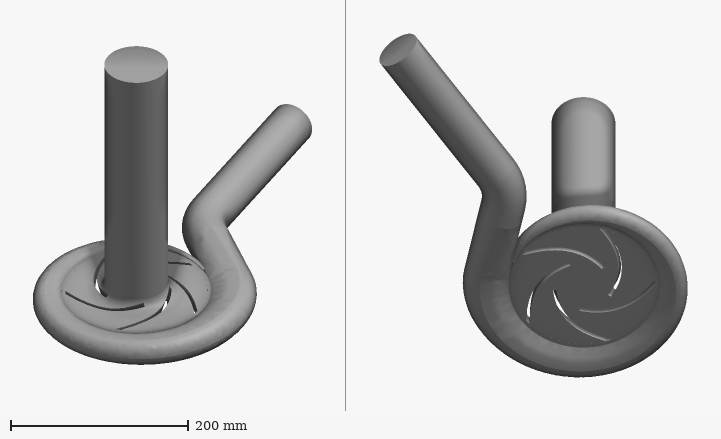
import cadquery as cq
import math

OVERALL_HEIGHT = 342.5

SUCTION_DIAMETER = 72.0
SUCTION_RADIUS = SUCTION_DIAMETER / 2
SUCTION_BOTTOM_Z = 33.0
NECK_BOTTOM_Z = 18.5

CHANNEL_HALF_HEIGHT = 6.5
IMPELLER_RADIUS = 80.0
SHROUD_BEND_RADIUS = 44.5
SHROUD_BEND_Z = 8.0
SHROUD_FLAT_RADIUS = 54.0

BLADE_COUNT = 5
BLADE_THICKNESS = 4.0
BLADE_OVERSHOOT = 5.0
BLADE_SHROUD_LINE = [(82.0, -7), (73.0, 1.5), (63.0, 15), (56.0, 30.5), (50.0, 50), (45.0, 68), (40.5, 95)]
BLADE_HUB_LINE = [(82.0, -7), (73.0, 1.5), (62.0, 15), (51.5, 30.5), (41.5, 50), (35.5, 68), (31.5, 95)]

SCROLL_SECTIONS = [
    (55, 93.0, 8.0), (90, 97.5, 9.5), (135, 105.0, 11.5), (180, 112.0, 12.0), (225, 119.0, 13.0),
    (270, 124.0, 14.0), (315, 127.5, 15.5), (360, 132.0, 17.5), (405, 135.0, 19.0),
]
SCROLL_END_ANGLE, THROAT_OUTER_RADIUS, _ = SCROLL_SECTIONS[-1]
SCROLL_MOUTH_RADIUS = 84.5

DISCHARGE_START_Y = 180.0
DISCHARGE_END_Y = 380.0
TRANSITION_LENGTH = 70.0
DISCHARGE_RADIUS = (THROAT_OUTER_RADIUS - SCROLL_MOUTH_RADIUS) / 2
THROAT_CENTRE = (THROAT_OUTER_RADIUS + SCROLL_MOUTH_RADIUS) / 2
BEND_ANGLE = math.radians(SCROLL_END_ANGLE - 360)
BEND_CORNER_Y = THROAT_CENTRE / math.sin(BEND_ANGLE)
BEND_TANGENT = DISCHARGE_START_Y - BEND_CORNER_Y
STRAIGHT_LENGTH = THROAT_CENTRE / math.tan(BEND_ANGLE) - BEND_TANGENT

SUCTION_TOP_Z = OVERALL_HEIGHT - DISCHARGE_RADIUS


def polar(radius, angle):
    a = math.radians(angle)
    return cq.Vector(radius * math.cos(a), radius * math.sin(a), 0)


def make_suction_pipe():
    return (
        cq.Workplane("XY", origin=(0, 0, SUCTION_BOTTOM_Z))
        .circle(SUCTION_RADIUS)
        .extrude(SUCTION_TOP_Z - SUCTION_BOTTOM_Z)
    )


def blade_outline(line, z):
    """Closed outline of one slot: the middle line offset by half the thickness to each side."""
    middle = [polar(radius, angle) for radius, angle in line]
    path = cq.Edge.makeSpline(middle)
    sides = []
    for side in (1, -1):
        points = []
        for index in range(len(middle)):
            share = index / (len(middle) - 1)
            tangent = path.tangentAt(share)
            normal = cq.Vector(-tangent.y, tangent.x, 0)
            points.append(path.positionAt(share) + normal * (side * BLADE_THICKNESS / 2))
        sides.append(cq.Edge.makeSpline(points))
    left, right = sides
    outer_end = cq.Edge.makeLine(right.startPoint(), left.startPoint())
    inner_end = cq.Edge.makeLine(left.endPoint(), right.endPoint())
    wire = cq.Wire.assembleEdges([left, inner_end, right, outer_end])
    return wire.translate(cq.Vector(0, 0, z))


def make_impeller():
    """Fluid passage of the impeller, with leaning slots where the blades stand."""
    passage = (
        cq.Workplane("XZ")
        .moveTo(0, -CHANNEL_HALF_HEIGHT)
        .lineTo(IMPELLER_RADIUS, -CHANNEL_HALF_HEIGHT)
        .lineTo(IMPELLER_RADIUS, CHANNEL_HALF_HEIGHT)
        .lineTo(SHROUD_FLAT_RADIUS, CHANNEL_HALF_HEIGHT)
        .tangentArcPoint((SHROUD_BEND_RADIUS, SHROUD_BEND_Z), relative=False)
        .tangentArcPoint((SUCTION_RADIUS, NECK_BOTTOM_Z), relative=False)
        .lineTo(SUCTION_RADIUS, SUCTION_BOTTOM_Z)
        .lineTo(0, SUCTION_BOTTOM_Z)
        .close()
        .revolve(360, (0, 0, 0), (0, 1, 0))
    )
    slot = cq.Solid.makeLoft(
        [
            blade_outline(BLADE_HUB_LINE, -CHANNEL_HALF_HEIGHT - BLADE_OVERSHOOT),
            blade_outline(BLADE_SHROUD_LINE, NECK_BOTTOM_Z),
        ],
        True,
    )
    for index in range(BLADE_COUNT):
        turn = index * 360 / BLADE_COUNT
        passage = passage.cut(cq.Workplane(slot.rotate(cq.Vector(0, 0, 0), cq.Vector(0, 0, 1), turn)))
    return passage.solids()


def scroll_section(angle, outer_radius, half_height):
    """Radial section: straight mouth, curved flanks and a half-round outside."""
    outward = polar(1, angle)
    up = cq.Vector(0, 0, 1)

    def place(radius, z):
        return outward * radius + up * z

    crown_radius = outer_radius - half_height
    diagonal = half_height * math.sqrt(0.5)
    mouth_top = place(SCROLL_MOUTH_RADIUS, CHANNEL_HALF_HEIGHT)
    mouth_bottom = place(SCROLL_MOUTH_RADIUS, -CHANNEL_HALF_HEIGHT)
    crown_top = place(crown_radius, half_height)
    crown_bottom = place(crown_radius, -half_height)
    tip = place(outer_radius, 0)
    upper_middle = place(crown_radius + diagonal, diagonal)
    lower_middle = place(crown_radius + diagonal, -diagonal)
    return cq.Wire.assembleEdges([
        cq.Edge.makeLine(mouth_bottom, mouth_top),
        cq.Edge.makeTangentArc(crown_top, outward * -1, mouth_top),
        cq.Edge.makeThreePointArc(crown_top, upper_middle, tip),
        cq.Edge.makeThreePointArc(tip, lower_middle, crown_bottom),
        cq.Edge.makeTangentArc(crown_bottom, outward * -1, mouth_bottom),
    ])


def round_section(distance):
    """Circle across the straight discharge, split into the same five edges as a scroll section."""
    outward = polar(1, SCROLL_END_ANGLE)
    along = polar(1, SCROLL_END_ANGLE + 90)
    centre = outward * THROAT_CENTRE + along * distance
    mouth_angle = 180 - math.degrees(math.asin(CHANNEL_HALF_HEIGHT / DISCHARGE_RADIUS))

    def place(angle):
        a = math.radians(angle)
        offset = outward * math.cos(a) + cq.Vector(0, 0, 1) * math.sin(a)
        return centre + offset * DISCHARGE_RADIUS

    corners = [-mouth_angle, -90, 0, 90, mouth_angle, 360 - mouth_angle]
    edges = []
    for start, end in zip(corners, corners[1:]):
        edges.append(cq.Edge.makeThreePointArc(place(start), place((start + end) / 2), place(end)))
    return cq.Wire.assembleEdges(edges)


def make_discharge_bend():
    """Round pipe from the end of the transition, around the bend to the +Y direction."""
    along = polar(1, SCROLL_END_ANGLE + 90)
    start = polar(THROAT_CENTRE, SCROLL_END_ANGLE) + along * TRANSITION_LENGTH
    bend_start = polar(THROAT_CENTRE, SCROLL_END_ANGLE) + along * STRAIGHT_LENGTH
    path = (
        cq.Workplane("XY")
        .moveTo(start.x, start.y)
        .lineTo(bend_start.x, bend_start.y)
        .tangentArcPoint((0, DISCHARGE_START_Y), relative=False)
    )
    return cq.Workplane(cq.Plane(start, (0, 0, 1), along)).circle(DISCHARGE_RADIUS).sweep(path)


def make_volute():
    """Mouth ring, growing scroll, transition to a circle and the discharge bend."""
    ring = (
        cq.Workplane("XY", origin=(0, 0, -CHANNEL_HALF_HEIGHT))
        .circle(SCROLL_MOUTH_RADIUS)
        .circle(IMPELLER_RADIUS)
        .extrude(2 * CHANNEL_HALF_HEIGHT)
    )
    sections = [scroll_section(*section) for section in SCROLL_SECTIONS]
    scroll = cq.Solid.makeLoft(sections)
    transition = cq.Solid.makeLoft([sections[-1], round_section(TRANSITION_LENGTH)])
    volute = ring.union(cq.Workplane(scroll)).union(cq.Workplane(transition))
    return volute.union(make_discharge_bend()).solids()


def make_discharge_pipe():
    return (
        cq.Workplane("XZ", origin=(0, DISCHARGE_START_Y, 0))
        .circle(DISCHARGE_RADIUS)
        .extrude(DISCHARGE_START_Y - DISCHARGE_END_Y)
    )


suction_pipe = make_suction_pipe()
impeller = make_impeller()
volute = make_volute()
discharge_pipe = make_discharge_pipe()

result = cq.Compound.makeCompound([
    suction_pipe.val(),
    impeller.val(),
    volute.val(),
    discharge_pipe.val(),
])